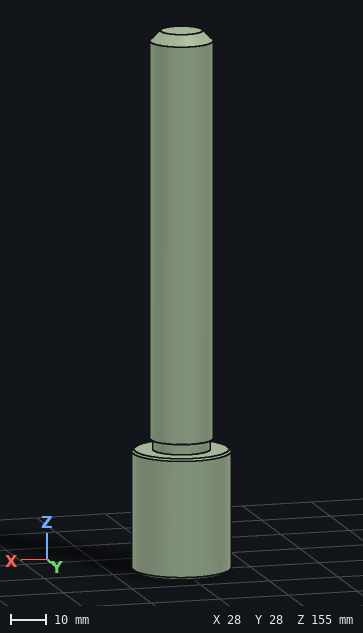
import cadquery as cq

total_length = 155.0
head_diameter = 28.0
head_length = 34.9
head_top_chamfer = 0.6
head_bottom_chamfer = 1.0
neck_diameter = 16.3
neck_length = 3.1
shank_diameter = 18.0
tip_diameter = 12.0
tip_length = 3.0

shank_start = head_length + neck_length
shank_length = total_length - shank_start
tip_inset = (shank_diameter - tip_diameter) / 2


def cylinder(diameter, base_height, length):
    """Solid cylinder on the Z axis, standing at base_height."""
    return cq.Workplane("XY").workplane(offset=base_height).circle(diameter / 2).extrude(length)


head = cylinder(head_diameter, 0, head_length)
head = head.faces(">Z").chamfer(head_top_chamfer)
head = head.faces("<Z").chamfer(head_bottom_chamfer)

neck = cylinder(neck_diameter, head_length, neck_length)

shank = cylinder(shank_diameter, shank_start, shank_length)
shank = shank.faces(">Z").chamfer(tip_length, tip_inset)

result = head.union(neck).union(shank)